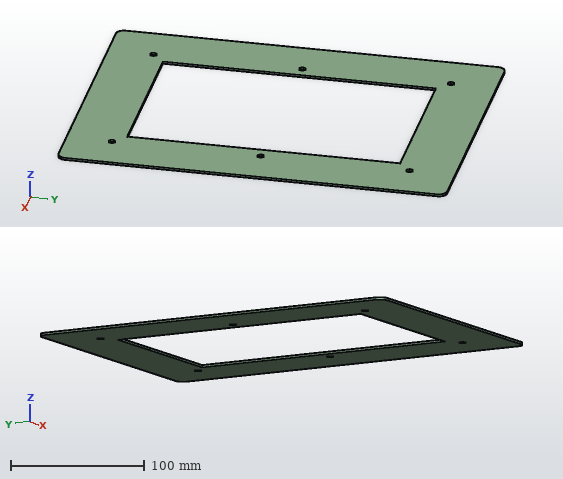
import cadquery as cq

plate_width = 215.9
plate_length = 298.45
plate_thickness = 1.88
corner_radius = 6.35

frame_width = 44.45
window_width = plate_width - 2 * frame_width
window_length = plate_length - 2 * frame_width

hole_diameter = 4.9
hole_column_spacing = 147.6
hole_row_spacing = 114.3
hole_columns = 2
hole_rows = 3


def make_plate():
    """Flat plate with rounded corners, resting on Z = 0."""
    plate = cq.Workplane("XY").rect(plate_width, plate_length).extrude(plate_thickness)
    return plate.edges("|Z").fillet(corner_radius)


def cut_window(plate):
    """Cut the sharp-cornered window through the plate."""
    window = cq.Workplane("XY").rect(window_width, window_length).extrude(plate_thickness)
    return plate.cut(window)


def cut_screw_holes(plate):
    """Cut the screw holes through the plate."""
    holes = (
        cq.Workplane("XY")
        .rarray(hole_column_spacing, hole_row_spacing, hole_columns, hole_rows)
        .circle(hole_diameter / 2)
        .extrude(plate_thickness)
    )
    return plate.cut(holes)


result = cut_screw_holes(cut_window(make_plate()))